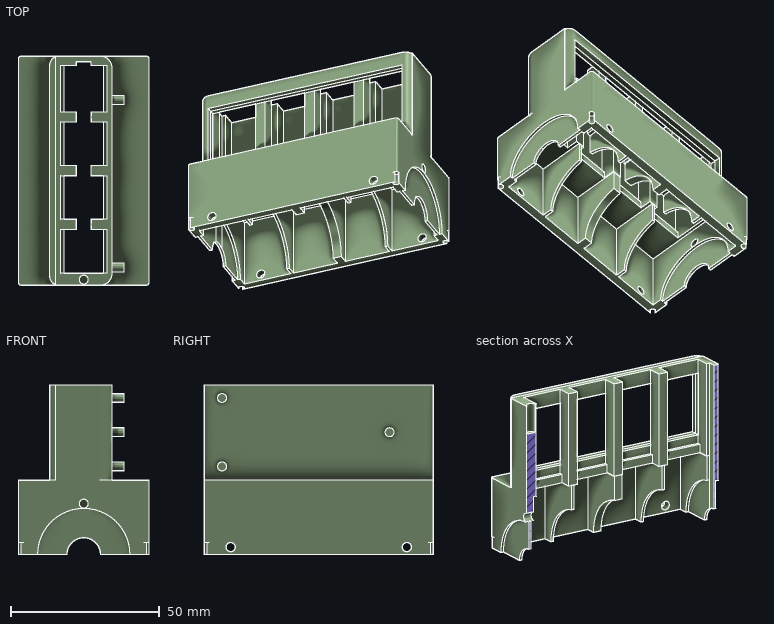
import cadquery as cq

BASE_WIDTH = 44.0
LENGTH = 77.0
BASE_HEIGHT = 25.0
ROOF_THICKNESS = 1.0
BASE_WALL = 3.0
CORNER_RADIUS = 1.0
CORNER_POCKET_HEIGHT = 4.0

ARCH_RADIUS = 15.5
SHAFT_RADIUS = 5.6
END_RECESS_DEPTH = 1.0
END_PLATE_THICKNESS = 1.0

SMALL_HOLE_DIAMETER = 3.0
SIDE_HOLE_Y = 29.6
SIDE_HOLE_Z = 2.5
END_HOLE_Z = 17.1

TOWER_HEIGHT = 32.0
TOWER_LEFT_X = -9.5
TOWER_RIGHT_X = -TOWER_LEFT_X
TOWER_CORNER_RADIUS = 4.0
TOP_Z = BASE_HEIGHT + TOWER_HEIGHT
ROOF_BOTTOM_Z = BASE_HEIGHT - ROOF_THICKNESS

CAVITY_HALF_WIDTH = 7.75
CAVITY_FRONT_Y = -34.4
CAVITY_BACK_Y = 35.3
LEDGE_TOP_Z = 27.0
LEDGE_HALF_GAP = 6.6

RIB_COUNT = 3
RIB_PITCH = 18.05
RIB_THICKNESS = 3.5
SLOT_HALF_WIDTH = 2.5
GROOVE_BACK_Y = 36.6
RIB_Y = [(i - (RIB_COUNT - 1) / 2) * RIB_PITCH for i in range(RIB_COUNT)]

DIVIDER_THICKNESSES = [1.0, 3.0, 1.0]
DIVIDER_SLOT_X = (-2.6, 2.4)

TOP_HOLE_Y = -36.6
TOP_HOLE_DEPTH = 10.0

COVER_THICKNESS = 2.0
COVER_CORNER_RADIUS = 3.2
WINDOW_LENGTH = 71.0
WINDOW_MARGIN = 5.0

PIN_DIAMETER = 3.0
PIN_LENGTH = 4.1
FRONT_PIN_Y = -32.5
BACK_PIN_Y = 23.8
PIN_LOW_Z = 29.6
PIN_HIGH_Z = 52.6
PIN_PLACES = [
    (FRONT_PIN_Y, PIN_LOW_Z),
    (FRONT_PIN_Y, PIN_HIGH_Z),
    (BACK_PIN_Y, (PIN_LOW_Z + PIN_HIGH_Z) / 2),
]

FRONT_Y = -LENGTH / 2
BACK_Y = LENGTH / 2
BASE_INNER_HALF_WIDTH = BASE_WIDTH / 2 - BASE_WALL
BASE_INNER_HALF_LENGTH = LENGTH / 2 - BASE_WALL


def block(x_range, y_range, z_range):
    """Box between pairs of limits along X, Y and Z."""
    limits = (x_range, y_range, z_range)
    sizes = [high - low for low, high in limits]
    corner = tuple(low for low, high in limits)
    return cq.Workplane("XY").box(*sizes, centered=False).translate(corner)


def cylinder_y(radius, y_range, z):
    """Cylinder along Y at X = 0."""
    length = y_range[1] - y_range[0]
    return cq.Workplane("XZ", origin=(0, y_range[1], z)).circle(radius).extrude(length)


def window_cutter():
    """Long window through the cover and the tower wall behind it."""
    return block(
        (TOWER_LEFT_X - COVER_THICKNESS, -CAVITY_HALF_WIDTH),
        (-WINDOW_LENGTH / 2, WINDOW_LENGTH / 2),
        (BASE_HEIGHT + WINDOW_MARGIN, TOP_Z - WINDOW_MARGIN),
    )


def make_outer_block():
    """Solid base and tower without any openings."""
    base = block((-BASE_WIDTH / 2, BASE_WIDTH / 2), (FRONT_Y, BACK_Y), (0, BASE_HEIGHT))
    base = base.edges("|Z").fillet(CORNER_RADIUS)
    tower = block((TOWER_LEFT_X, TOWER_RIGHT_X), (FRONT_Y, BACK_Y), (BASE_HEIGHT, TOP_Z))
    tower = tower.edges("|Z and >X").fillet(TOWER_CORNER_RADIUS)
    pockets = (
        cq.Workplane("XY")
        .rect(BASE_WIDTH - 2 * CORNER_RADIUS, LENGTH - 2 * CORNER_RADIUS, forConstruction=True)
        .vertices()
        .circle(CORNER_RADIUS)
        .extrude(CORNER_POCKET_HEIGHT)
    )
    return base.union(tower).cut(pockets)


def tower_cavity():
    """Bays of the tower: ribs at the sides, ledges at the foot and a slot down the middle."""
    bay_y = (CAVITY_FRONT_Y, CAVITY_BACK_Y)
    upper = block((-CAVITY_HALF_WIDTH, CAVITY_HALF_WIDTH), bay_y, (LEDGE_TOP_Z, TOP_Z))
    lower = block((-LEDGE_HALF_GAP, LEDGE_HALF_GAP), bay_y, (ROOF_BOTTOM_Z, LEDGE_TOP_Z))
    cavity = upper.union(lower)
    for y in RIB_Y:
        rib_y = (y - RIB_THICKNESS / 2, y + RIB_THICKNESS / 2)
        rib = block((-CAVITY_HALF_WIDTH, CAVITY_HALF_WIDTH), rib_y, (ROOF_BOTTOM_Z, TOP_Z))
        cavity = cavity.cut(rib)
    slot = block(
        (-SLOT_HALF_WIDTH, SLOT_HALF_WIDTH),
        (CAVITY_FRONT_Y, GROOVE_BACK_Y),
        (ROOF_BOTTOM_Z, TOP_Z),
    )
    return cavity.union(slot)


def base_cavity():
    """Hollow of the base, open below, leaving thin dividers under the ribs."""
    width = (-BASE_INNER_HALF_WIDTH, BASE_INNER_HALF_WIDTH)
    height = (0, ROOF_BOTTOM_Z)
    inner_y = (-BASE_INNER_HALF_LENGTH, BASE_INNER_HALF_LENGTH)
    cavity = block(width, inner_y, height)
    for y, thickness in zip(RIB_Y, DIVIDER_THICKNESSES):
        divider_y = (y - thickness / 2, y + thickness / 2)
        cavity = cavity.cut(block(width, divider_y, height))
    slot = block(DIVIDER_SLOT_X, (-BASE_INNER_HALF_LENGTH, GROOVE_BACK_Y), height)
    return cavity.union(slot)


def shaft_openings():
    """Arched tunnel, shallow arched end recesses and the smaller shaft bore through the end plates."""
    plate_inset = END_RECESS_DEPTH + END_PLATE_THICKNESS
    tunnel = cylinder_y(ARCH_RADIUS, (FRONT_Y + plate_inset, BACK_Y - plate_inset), 0)
    front_recess = cylinder_y(ARCH_RADIUS, (FRONT_Y, FRONT_Y + END_RECESS_DEPTH), 0)
    back_recess = cylinder_y(ARCH_RADIUS, (BACK_Y - END_RECESS_DEPTH, BACK_Y), 0)
    bore = cylinder_y(SHAFT_RADIUS, (FRONT_Y, BACK_Y), 0)
    return tunnel.union(front_recess).union(back_recess).union(bore)


def top_hole():
    """Blind hole down into the front wall of the tower."""
    return (
        cq.Workplane("XY", origin=(0, TOP_HOLE_Y, TOP_Z))
        .circle(SMALL_HOLE_DIAMETER / 2)
        .extrude(-TOP_HOLE_DEPTH)
    )


def end_hole():
    """Hole through the front wall of the base, just above the arch."""
    return cylinder_y(SMALL_HOLE_DIAMETER / 2, (FRONT_Y, -BASE_INNER_HALF_LENGTH), END_HOLE_Z)


def side_holes():
    """Cross holes near the foot of both long walls."""
    return (
        cq.Workplane("YZ", origin=(-BASE_WIDTH / 2, 0, SIDE_HOLE_Z))
        .pushPoints([(-SIDE_HOLE_Y, 0), (SIDE_HOLE_Y, 0)])
        .circle(SMALL_HOLE_DIAMETER / 2)
        .extrude(BASE_WIDTH)
    )


def make_housing():
    housing = make_outer_block()
    cutters = [
        base_cavity(),
        tower_cavity(),
        shaft_openings(),
        top_hole(),
        end_hole(),
        side_holes(),
        window_cutter(),
    ]
    for cutter in cutters:
        housing = housing.cut(cutter)
    return housing


def make_cover():
    """Framed cover plate on the -X face of the tower; its round corners stop at the tower face."""
    plate = block(
        (TOWER_LEFT_X - COVER_THICKNESS, TOWER_LEFT_X + COVER_CORNER_RADIUS),
        (FRONT_Y, BACK_Y),
        (BASE_HEIGHT, TOP_Z),
    )
    plate = plate.edges("|Z and <X").fillet(COVER_CORNER_RADIUS)
    behind = block(
        (TOWER_LEFT_X, TOWER_LEFT_X + COVER_CORNER_RADIUS),
        (FRONT_Y, BACK_Y),
        (BASE_HEIGHT, TOP_Z),
    )
    return plate.cut(behind).cut(window_cutter())


def make_pin(y, z):
    """Short pin standing on the +X face of the tower."""
    return (
        cq.Workplane("YZ", origin=(TOWER_RIGHT_X, y, z))
        .circle(PIN_DIAMETER / 2)
        .extrude(PIN_LENGTH)
    )


housing = make_housing()
cover = make_cover()
pins = [make_pin(y, z) for y, z in PIN_PLACES]

result = cq.Compound.makeCompound([housing.val(), cover.val(), *[pin.val() for pin in pins]])